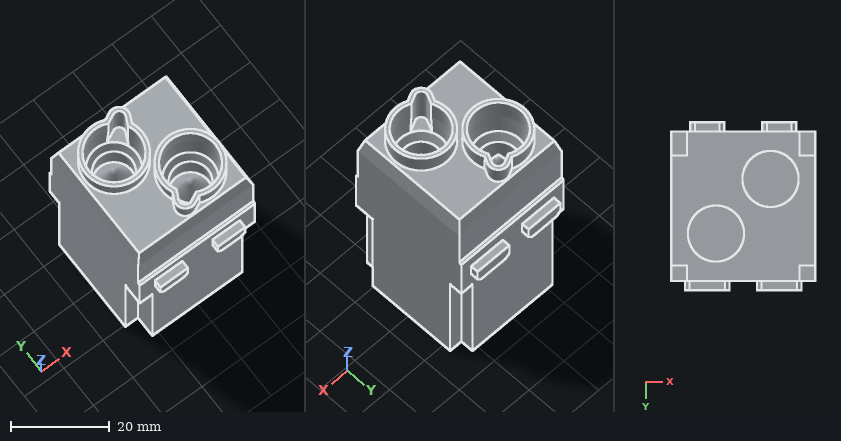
import cadquery as cq
import math

WIDTH = 29.3
BASE_DEPTH = 30.35
TOTAL_HEIGHT = 53.25
ROOF_HEIGHT = 48.95
ROOF_INSET = 1.05
BEVEL_HEIGHT = 45.0
STEP_TOP = 35.5
STEP_BOTTOM = 35.1

NOTCH_HEIGHT = 24.5
NOTCH_WIDTH = 3.2
FRONT_NOTCH_DEPTH = 4.85
REAR_NOTCH_DEPTH = 3.2

LUG_SPACING = 14.6
LUG_REACH = 1.85
LUG_TOP = 31.6
LUG_HEIGHT = 3.8
LUG_CHAMFER = 0.95
FRONT_LUG_WIDTH = 7.0
REAR_LUG_WIDTH = 9.05

SOCKET_OFFSET = 5.55
SOCKET_RADIUS = 6.4
COLLAR_WALL = 0.9
DRAFT_ANGLE = 0.5
MOUTH_DEPTH = 4.85
THROAT_RADIUS = 5.7
THROAT_DEPTH = 8.95

KEY_REACH = 7.65
KEY_TIP_RADIUS = 1.4
KEY_HALF_ANGLE = 19.0
KEY_DIRECTION = 45.0
KEY_INNER_REACH = 3.75
KEY_DEPTH = 9.3

CONTACT_RIM_DEPTH = 9.4
CUP_RADIUS = 4.45
CONE_SLOPE = 62.0
FUNNEL_SLOPE = 60.0


def tan(degrees):
    return math.tan(math.radians(degrees))


def draft_at(depth):
    """How far a drafted wall has moved sideways at a depth below the rim."""
    return depth * tan(DRAFT_ANGLE)


COLLAR_HEIGHT = TOTAL_HEIGHT - ROOF_HEIGHT
CONTACT_RADIUS = THROAT_RADIUS
CONTACT_RIM = TOTAL_HEIGHT - CONTACT_RIM_DEPTH
FUNNEL_BOTTOM = CONTACT_RIM - (CONTACT_RADIUS - CUP_RADIUS) * tan(FUNNEL_SLOPE)
CONE_TIP = CONTACT_RIM
CUP_FLOOR = CONE_TIP - CUP_RADIUS * tan(CONE_SLOPE)
SOCKET_TURNS = (0, 180)


def turned(*profile):
    """Solid of revolution about Z from (radius, height) points."""
    return cq.Workplane("XZ").polyline(profile).close().revolve(360, (0, 0), (0, 1))


def in_socket(shape, turn):
    """Place a shape made on the Z axis in the first socket, then turn it about the centre."""
    placed = shape.translate((-SOCKET_OFFSET, SOCKET_OFFSET, 0))
    return placed.rotate((0, 0, 0), (0, 0, 1), turn)


def make_block():
    half = WIDTH / 2
    half_base = BASE_DEPTH / 2
    block = (
        cq.Workplane("YZ")
        .polyline([
            (-half_base, 0),
            (half_base, 0),
            (half_base, STEP_BOTTOM),
            (half, STEP_TOP),
            (half, BEVEL_HEIGHT),
            (-half, BEVEL_HEIGHT),
            (-half, STEP_TOP),
            (-half_base, STEP_BOTTOM),
        ])
        .close()
        .extrude(half, both=True)
    )
    roof_width = WIDTH - 2 * ROOF_INSET
    roof = (
        cq.Workplane("XY", origin=(0, 0, BEVEL_HEIGHT))
        .rect(WIDTH, WIDTH)
        .workplane(offset=ROOF_HEIGHT - BEVEL_HEIGHT)
        .rect(roof_width, roof_width)
        .loft(ruled=True)
    )
    return block.union(roof)


def make_corner_notches():
    notches = cq.Workplane("XY")
    for y_side, depth in ((-1, FRONT_NOTCH_DEPTH), (1, REAR_NOTCH_DEPTH)):
        for x_side in (-1, 1):
            x = x_side * (WIDTH - NOTCH_WIDTH) / 2
            y = y_side * (BASE_DEPTH - depth) / 2
            notch = cq.Workplane("XY").box(NOTCH_WIDTH, depth, NOTCH_HEIGHT, centered=(True, True, False))
            notches = notches.add(notch.translate((x, y, 0)))
    return notches.combine()


def make_lugs():
    lugs = cq.Workplane("XY")
    for y_side, width in ((-1, FRONT_LUG_WIDTH), (1, REAR_LUG_WIDTH)):
        for x_side in (-1, 1):
            lug = (
                cq.Workplane("XY")
                .box(width, LUG_REACH, LUG_HEIGHT)
                .edges("|Y and <Z")
                .chamfer(LUG_CHAMFER)
            )
            x = x_side * LUG_SPACING / 2
            y = y_side * (BASE_DEPTH + LUG_REACH) / 2
            lugs = lugs.add(lug.translate((x, y, LUG_TOP - LUG_HEIGHT / 2)))
    return lugs.combine()


def key_outline(offset, height):
    """Wedge with a rounded tip along +X, grown outward by an offset, as a wire."""
    tip_radius = KEY_TIP_RADIUS + offset
    angle = math.radians(KEY_HALF_ANGLE)
    tangent_x = KEY_REACH + tip_radius * math.sin(angle)
    tangent_y = tip_radius * math.cos(angle)
    inner_y = tangent_y + (tangent_x - KEY_INNER_REACH) * tan(KEY_HALF_ANGLE)
    return (
        cq.Workplane("XY", origin=(0, 0, height))
        .moveTo(KEY_INNER_REACH, -inner_y)
        .lineTo(tangent_x, -tangent_y)
        .threePointArc((KEY_REACH + tip_radius, 0), (tangent_x, tangent_y))
        .lineTo(KEY_INNER_REACH, inner_y)
        .close()
        .val()
    )


def make_key(lower_offset, upper_offset, depth):
    """Drafted wedge from the rim down to a depth."""
    lower = key_outline(lower_offset, TOTAL_HEIGHT - depth)
    upper = key_outline(upper_offset, TOTAL_HEIGHT)
    key = cq.Workplane(cq.Solid.makeLoft([lower, upper], True))
    return key.rotate((0, 0, 0), (0, 0, 1), KEY_DIRECTION)


def make_collar():
    """Solid outer form of the collar that rises from the roof round a socket."""
    rim_radius = SOCKET_RADIUS + COLLAR_WALL
    spread = draft_at(COLLAR_HEIGHT)
    drum = turned(
        (0, ROOF_HEIGHT),
        (rim_radius + spread, ROOF_HEIGHT),
        (rim_radius, TOTAL_HEIGHT),
        (0, TOTAL_HEIGHT),
    )
    return drum.union(make_key(COLLAR_WALL + spread, COLLAR_WALL, COLLAR_HEIGHT))


def make_socket():
    """Space inside a collar: round part, keyway, throat and the bore for the contact."""
    well = turned(
        (0, 0),
        (CONTACT_RADIUS, 0),
        (THROAT_RADIUS, TOTAL_HEIGHT - THROAT_DEPTH),
        (SOCKET_RADIUS - draft_at(MOUTH_DEPTH), TOTAL_HEIGHT - MOUTH_DEPTH),
        (SOCKET_RADIUS, TOTAL_HEIGHT),
        (0, TOTAL_HEIGHT),
    )
    return well.union(make_key(-draft_at(KEY_DEPTH), 0, KEY_DEPTH))


def make_contact():
    """Turned contact that fills the bore down to the underside of the housing."""
    return turned(
        (0, 0),
        (CONTACT_RADIUS, 0),
        (CONTACT_RADIUS, CONTACT_RIM),
        (CUP_RADIUS, FUNNEL_BOTTOM),
        (CUP_RADIUS, CUP_FLOOR),
        (0, CONE_TIP),
    )


def make_housing():
    housing = make_block().cut(make_corner_notches()).union(make_lugs())
    for turn in SOCKET_TURNS:
        housing = housing.union(in_socket(make_collar(), turn))
    for turn in SOCKET_TURNS:
        housing = housing.cut(in_socket(make_socket(), turn))
    return housing


housing = make_housing()
contacts = [in_socket(make_contact(), turn) for turn in SOCKET_TURNS]

result = cq.Compound.makeCompound([housing.val(), *[contact.val() for contact in contacts]])